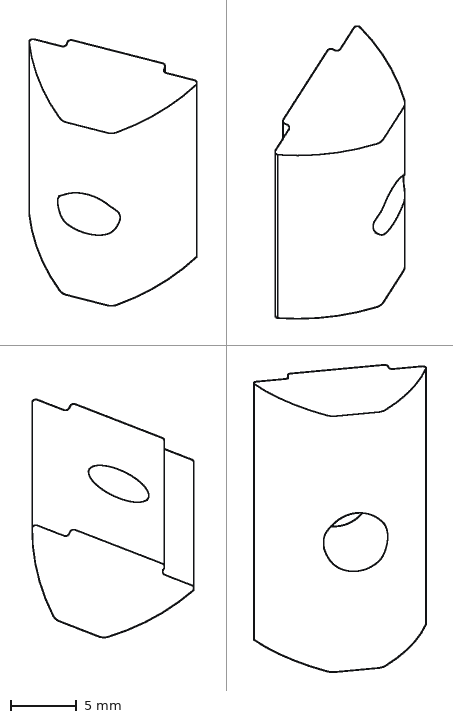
import cadquery as cq

length = 22.0
depth = 7.6
body_width = 13.4

tongue_width = 7.8
tongue_height = 0.8

front_width = 4.0
flank_radius = 17.5
shoulder_wall_height = 0.35
front_edge_radius = 1.0

small_radius = 0.3

hole_diameter = 5.0

back_y = depth / 2
shoulder_y = back_y - tongue_height
wall_bottom_y = shoulder_y - shoulder_wall_height
front_y = -depth / 2

half_tongue = tongue_width / 2
half_shoulder = body_width / 2
half_front = front_width / 2


def make_profile_bar():
    """Extrude the sharp-cornered cross-section along Z, centred on the origin."""
    return (
        cq.Workplane("XY")
        .workplane(offset=-length / 2)
        .moveTo(-half_tongue, back_y)
        .lineTo(half_tongue, back_y)
        .lineTo(half_tongue, shoulder_y)
        .lineTo(half_shoulder, shoulder_y)
        .lineTo(half_shoulder, wall_bottom_y)
        .radiusArc((half_front, front_y), flank_radius)
        .lineTo(-half_front, front_y)
        .radiusArc((-half_shoulder, wall_bottom_y), flank_radius)
        .lineTo(-half_shoulder, shoulder_y)
        .lineTo(-half_tongue, shoulder_y)
        .close()
        .extrude(length)
    )


def round_edge_pair(solid, half_width, y, radius):
    """Round the two mirrored long edges at x = +/-half_width on level y."""
    for x in (-half_width, half_width):
        edge = cq.selectors.NearestToPointSelector((x, y, 0))
        solid = solid.edges("|Z").edges(edge).fillet(radius)
    return solid


def cut_cross_hole(solid):
    """Cut the round hole through the full depth of the bar."""
    hole = cq.Workplane("XZ").circle(hole_diameter / 2).extrude(depth, both=True)
    return solid.cut(hole)


bar = make_profile_bar()
bar = round_edge_pair(bar, half_tongue, back_y, small_radius)
bar = round_edge_pair(bar, half_tongue, shoulder_y, small_radius)
bar = round_edge_pair(bar, half_shoulder, shoulder_y, small_radius)
bar = round_edge_pair(bar, half_front, front_y, front_edge_radius)

result = cut_cross_hole(bar)